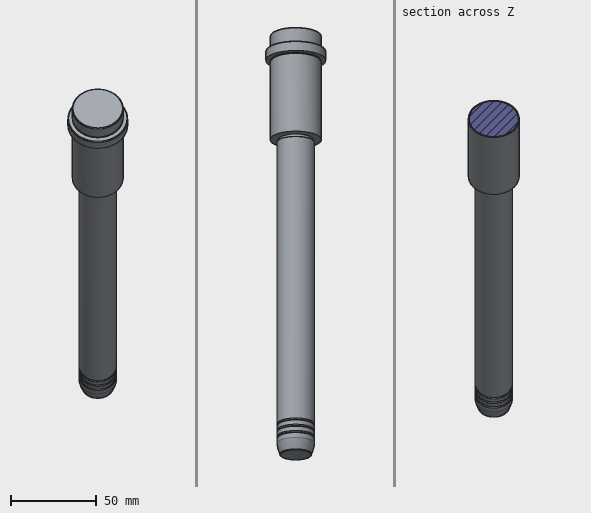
import cadquery as cq

total_length = 260.0
sleeve_length = 64.5
cap_length = 9.4
flange_thickness = 6.0
neck_length = 1.8
tip_length = 7.0

flange_diameter = 35.0
sleeve_diameter = 30.0
rod_diameter = 22.0
neck_diameter = 20.0
tip_diameter = 17.7

cap_chamfer = 0.5
flange_chamfer = 0.5
tip_chamfer = 0.5

tip_bulge = 0.3

relief_width = 0.8
relief_depth = 0.5

groove_count = 3
groove_width = 1.3
groove_depth = 0.5
groove_pitch = 4.0
lowest_groove_height = 10.7

sleeve_bottom = total_length - sleeve_length
rod_top = sleeve_bottom - neck_length
flange_top = total_length - cap_length
flange_bottom = flange_top - flange_thickness


def cylinder(diameter, bottom, top):
    return cq.Workplane("XY").workplane(offset=bottom).circle(diameter / 2).extrude(top - bottom)


def make_ring(outer_diameter, depth, bottom, top):
    """Ring that cuts a groove of the given depth into a round of outer_diameter."""
    core = cylinder(outer_diameter - 2 * depth, bottom, top)
    return cylinder(outer_diameter + 2 * depth, bottom, top).cut(core)


def make_head():
    sleeve = cylinder(sleeve_diameter, sleeve_bottom, total_length).faces(">Z").edges().chamfer(cap_chamfer)
    flange = cylinder(flange_diameter, flange_bottom, flange_top).faces(">Z").edges().chamfer(flange_chamfer)
    upper_relief = make_ring(sleeve_diameter, relief_depth, flange_top, flange_top + relief_width)
    lower_relief = make_ring(sleeve_diameter, relief_depth, flange_bottom - relief_width, flange_bottom)
    return sleeve.cut(upper_relief).cut(lower_relief).union(flange)


def make_rod():
    """Rod body with a rounded, narrowing tip and a small end chamfer."""
    rod_radius = rod_diameter / 2
    tip_radius = tip_diameter / 2
    taper_bottom_radius = tip_radius + tip_chamfer
    middle_radius = (rod_radius + taper_bottom_radius) / 2 + tip_bulge
    middle_height = (tip_length + tip_chamfer) / 2
    return (
        cq.Workplane("XZ")
        .lineTo(tip_radius, 0)
        .lineTo(taper_bottom_radius, tip_chamfer)
        .threePointArc((middle_radius, middle_height), (rod_radius, tip_length))
        .lineTo(rod_radius, rod_top)
        .lineTo(0, rod_top)
        .close()
        .revolve(360, (0, 0, 0), (0, 1, 0))
    )


def make_v_groove(middle):
    """Ring of diamond section that cuts a V groove into the rod."""
    rod_radius = rod_diameter / 2
    return (
        cq.Workplane("XZ")
        .moveTo(rod_radius - groove_depth, middle)
        .lineTo(rod_radius, middle - groove_width / 2)
        .lineTo(rod_radius + groove_depth, middle)
        .lineTo(rod_radius, middle + groove_width / 2)
        .close()
        .revolve(360, (0, 0, 0), (0, 1, 0))
    )


neck = cylinder(neck_diameter, rod_top, sleeve_bottom)
result = make_head().union(neck).union(make_rod())
for index in range(groove_count):
    result = result.cut(make_v_groove(lowest_groove_height + index * groove_pitch))